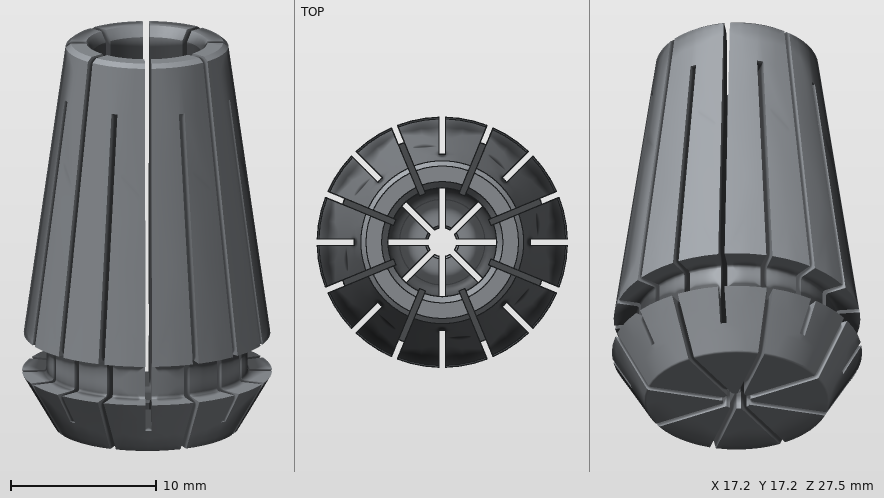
import cadquery as cq
import math

height = 27.5
nose_angle = 30
taper_angle = 8
flange_diameter = 17.25
flange_radius = flange_diameter / 2
flange_height = 3.95
nose_fillet = 0.2
groove_radius = 6.93
groove_width = 2.72
groove_fillet = 0.2
taper_radius = 8.5
rim_chamfer_height = 0.28
rim_radius = 5.25

bore_radius = 3.75
bore_floor = 1.48
bore_fillet = 0.8
countersink_radius = 4.18
countersink_depth = 0.72
hole_radius = 1.0
hole_chamfer = 0.16

slot_count = 8
slot_width = 0.45
nose_slot_top = 23.98
rim_slot_bottom = 1.75


def make_body():
    """Revolve the outside: nose cone, groove and taper."""
    nose_radius = flange_radius - flange_height * math.tan(math.radians(nose_angle))
    taper_bottom = flange_height + groove_width
    taper_top = height - rim_chamfer_height
    taper_top_radius = taper_radius - (taper_top - taper_bottom) * math.tan(math.radians(taper_angle))
    fillet_dip = groove_fillet * (1 - math.sqrt(0.5))
    fillet_start = groove_radius + groove_fillet
    body = (
        cq.Workplane("XZ")
        .lineTo(nose_radius, 0)
        .lineTo(flange_radius, flange_height)
        .lineTo(fillet_start, flange_height)
        .threePointArc(
            (groove_radius + fillet_dip, flange_height + fillet_dip),
            (groove_radius, flange_height + groove_fillet),
        )
        .lineTo(groove_radius, taper_bottom - groove_fillet)
        .threePointArc(
            (groove_radius + fillet_dip, taper_bottom - fillet_dip),
            (fillet_start, taper_bottom),
        )
        .lineTo(taper_radius, taper_bottom)
        .lineTo(taper_top_radius, taper_top)
        .lineTo(rim_radius, height)
        .lineTo(0, height)
        .close()
        .revolve(360, (0, 0, 0), (0, 1, 0))
    )
    return body.faces("<Z").edges().fillet(nose_fillet)


def make_bore():
    """Revolve the cavity: small hole, round-cornered bore and countersink."""
    fillet_dip = bore_fillet * (1 - math.sqrt(0.5))
    return (
        cq.Workplane("XZ")
        .lineTo(hole_radius, 0)
        .lineTo(hole_radius, bore_floor - hole_chamfer)
        .lineTo(hole_radius + hole_chamfer, bore_floor)
        .lineTo(bore_radius - bore_fillet, bore_floor)
        .threePointArc(
            (bore_radius - fillet_dip, bore_floor + fillet_dip),
            (bore_radius, bore_floor + bore_fillet),
        )
        .lineTo(bore_radius, height - countersink_depth)
        .lineTo(countersink_radius, height)
        .lineTo(0, height)
        .close()
        .revolve(360, (0, 0, 0), (0, 1, 0))
    )


def make_slots(bottom, top, first_angle):
    """Ring of radial slots; each blade spans the diameter and cuts two opposite slots."""
    blade_length = flange_diameter + slot_width
    blade = (
        cq.Workplane("XY")
        .workplane(offset=bottom)
        .rect(blade_length, slot_width)
        .extrude(top - bottom)
    )
    slot_pitch = 360 / slot_count
    slots = cq.Workplane("XY")
    for index in range(slot_count // 2):
        angle = first_angle + index * slot_pitch
        slots = slots.add(blade.rotate((0, 0, 0), (0, 0, 1), angle))
    return slots.combine()


nose_slots = make_slots(0, nose_slot_top, 0)
rim_slots = make_slots(rim_slot_bottom, height, 180 / slot_count)
result = make_body().cut(make_bore()).cut(nose_slots).cut(rim_slots)